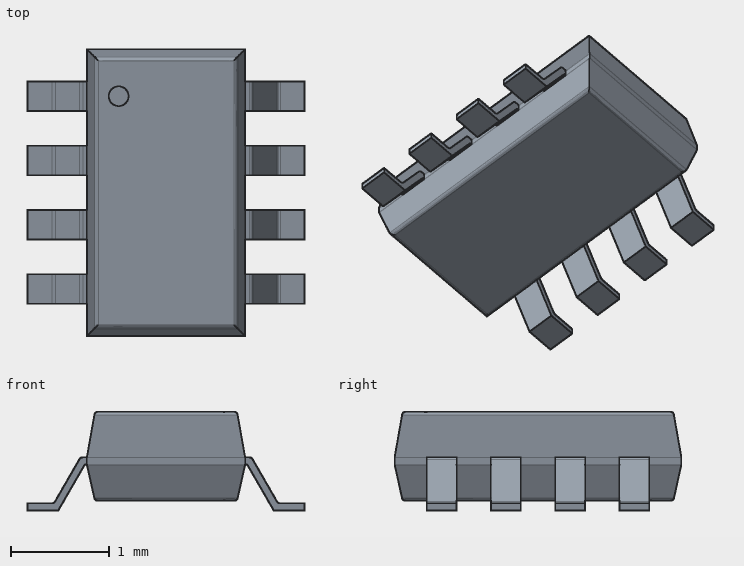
import cadquery as cq
import math

housing_width = 1.6
housing_length = 2.9
housing_top = 1.0
housing_bottom = 0.1
wall_inset = 0.08
edge_radius = 0.04

mark_diameter = 0.2
mark_depth = 0.1
mark_x = -0.478

lead_span = 2.8
lead_thickness = 0.075
lead_width = 0.302
lead_pitch = 0.65
leads_per_side = 4
shoulder_top = 0.54
knee_x = 0.865
bend_angle = 60.0
bend_radius = 0.038

band_top = shoulder_top
band_bottom = shoulder_top - lead_thickness
first_lead_y = lead_pitch * (leads_per_side - 1) / 2


def tapered_half(band_z, end_z):
    """Solid between the full rectangle at the band and the smaller one at an end face."""
    return (
        cq.Workplane("XY")
        .workplane(offset=band_z)
        .rect(housing_width, housing_length)
        .workplane(offset=end_z - band_z)
        .rect(housing_width - 2 * wall_inset, housing_length - 2 * wall_inset)
        .loft(ruled=True)
    )


def make_housing():
    """Moulded body with sloping walls, rounded rims and the pin-one mark."""
    band = (
        cq.Workplane("XY")
        .workplane(offset=band_bottom)
        .rect(housing_width, housing_length)
        .extrude(lead_thickness)
    )
    upper_half = tapered_half(band_top, housing_top).faces(">Z").edges().fillet(edge_radius)
    lower_half = tapered_half(band_bottom, housing_bottom).faces("<Z").edges().fillet(edge_radius)
    mark = (
        cq.Workplane("XY")
        .workplane(offset=housing_top - mark_depth)
        .center(mark_x, first_lead_y)
        .circle(mark_diameter / 2)
        .extrude(mark_depth)
    )
    return band.union(upper_half).union(lower_half).cut(mark)


def make_lead():
    """Gull-wing lead on the +X side, centred on Y = 0, from the housing wall to its toe."""
    wall_x = housing_width / 2
    toe_x = lead_span / 2
    leg_run = (shoulder_top - lead_thickness) / math.tan(math.radians(bend_angle))
    corner_shift = lead_thickness * math.tan(math.radians(bend_angle / 2))
    inner_knee_x = knee_x - corner_shift
    profile = [
        (wall_x, shoulder_top),
        (knee_x, shoulder_top),
        (knee_x + leg_run, lead_thickness),
        (toe_x, lead_thickness),
        (toe_x, 0),
        (inner_knee_x + leg_run, 0),
        (inner_knee_x, band_bottom),
        (wall_x, band_bottom),
    ]
    blank = cq.Workplane("XZ").polyline(profile).close().extrude(lead_width / 2, both=True)
    knee = cq.selectors.NearestToPointSelector((knee_x, 0, shoulder_top))
    ankle = cq.selectors.NearestToPointSelector((knee_x + leg_run, 0, lead_thickness))
    return blank.edges("|Y").edges(knee + ankle).fillet(bend_radius)


housing = make_housing()

right_lead = make_lead()
left_lead = right_lead.rotate((0, 0, 0), (0, 0, 1), 180)
leads = []
for index in range(leads_per_side):
    lead_y = first_lead_y - index * lead_pitch
    for lead in (left_lead, right_lead):
        leads.append(lead.translate((0, lead_y, 0)).val())

result = cq.Compound.makeCompound([housing.val(), *leads])